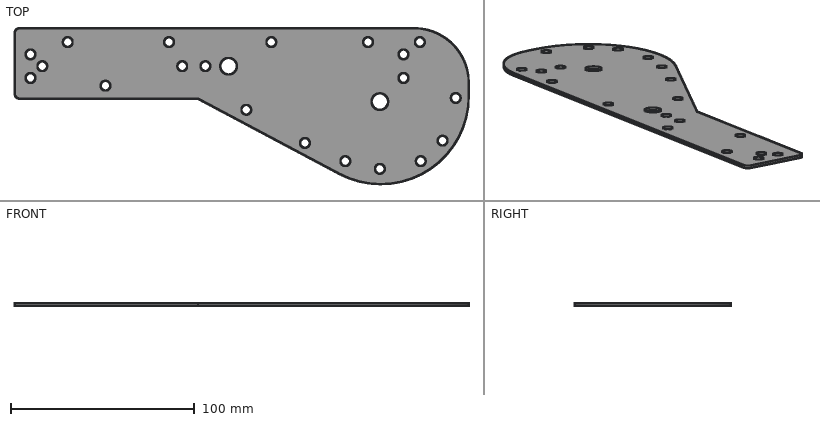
import cadquery as cq
import math

length = 247.6
height = 85.2
thickness = 1.58
arm_bottom = 46.5
arm_end = 100.0
corner_radius = 3.0
upper_radius = 30.0
head_radius = 48.0

small_diameter = 5.2
large_diameter = 9.0
group_pitch = 6.5
group_y = 64.5
arm_group_x = 8.7
head_group_x = 212.0
arm_pair_x = [91.5, 104.0]
arm_pivot_x = 116.6
head_pivot = (199.0, 45.0)
top_row_x = [29.0, 84.2, 140.0, 192.7, 221.0]
top_row_y = 77.5
lower_rim_holes = [
    (49.5, 53.7),
    (126.3, 40.5),
    (158.2, 22.5),
    (180.3, 12.6),
    (head_pivot[0], 8.5),
    (221.5, 12.6),
    (233.3, 23.8),
    (240.5, 47.0),
]


def on_circle(center, radius, degrees):
    angle = math.radians(degrees)
    return (center[0] + radius * math.cos(angle), center[1] + radius * math.sin(angle))


def make_plate():
    upper_center = (length - upper_radius, height - upper_radius)
    head_center = (length - head_radius, head_radius)

    dx = head_center[0] - arm_end
    dy = head_center[1] - arm_bottom
    tangent_drop = math.asin(head_radius / math.hypot(dx, dy)) - math.atan2(dy, dx)
    tangent_angle = -90 - math.degrees(tangent_drop)

    outline = (
        cq.Workplane("XY")
        .moveTo(0, height)
        .lineTo(upper_center[0], height)
        .threePointArc(on_circle(upper_center, upper_radius, 45), (length, upper_center[1]))
        .lineTo(length, head_center[1])
        .threePointArc(
            on_circle(head_center, head_radius, tangent_angle / 2),
            on_circle(head_center, head_radius, tangent_angle),
        )
        .lineTo(arm_end, arm_bottom)
        .lineTo(0, arm_bottom)
        .close()
    )
    plate = outline.extrude(thickness)
    return plate.faces("<X").edges("|Z").fillet(corner_radius)


def hole_cutters(centers, diameter):
    return cq.Workplane("XY").pushPoints(centers).circle(diameter / 2).extrude(thickness)


small_holes = [(x, top_row_y) for x in top_row_x] + lower_rim_holes
small_holes += [(x, group_y) for x in arm_pair_x]
small_holes.append((arm_group_x + group_pitch, group_y))
for group_x in (arm_group_x, head_group_x):
    for side in (-1, 1):
        small_holes.append((group_x, group_y + side * group_pitch))

large_holes = [(arm_pivot_x, group_y), head_pivot]

result = (
    make_plate()
    .cut(hole_cutters(small_holes, small_diameter))
    .cut(hole_cutters(large_holes, large_diameter))
)